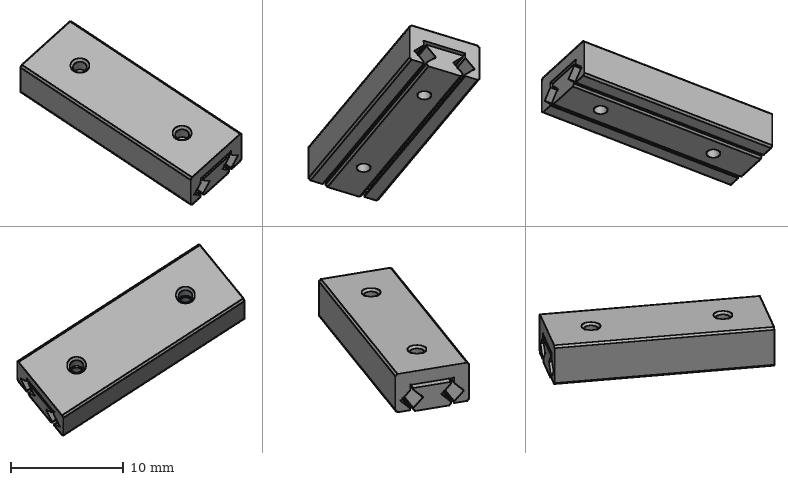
import cadquery as cq

length = 20.0
block_width = 7.0
total_height = 4.0
edge_chamfer = 0.2

block_bottom = 0.15
slot_top = 2.7
rail_top = 2.35
race_center_y = 1.95
race_center_z = 1.25
race_reach = 1.05
side_gap = 0.28

slot_half_width = race_center_y + side_gap / 2
rail_half_width = race_center_y - side_gap / 2

hole_diameter = 1.25
countersink_diameter = 1.7
countersink_angle = 90.0
hole_spacing = 12.0
hole_points = [(-hole_spacing / 2, 0), (hole_spacing / 2, 0)]


def bar(half_width, bottom, top):
    """Rectangular bar of full length, centred in X and Y."""
    return (
        cq.Workplane("XY")
        .box(length, 2 * half_width, top - bottom, centered=(True, True, False))
        .translate((0, 0, bottom))
    )


def race_cutter():
    """Square bars standing on edge, one per side, that cut the 90 degree V-grooves."""
    return (
        cq.Workplane("YZ")
        .pushPoints([(-race_center_y, race_center_z), (race_center_y, race_center_z)])
        .polygon(4, 2 * race_reach)
        .extrude(length / 2, both=True)
    )


def make_block():
    """Channel-shaped block with V-grooves on its inner walls and countersunk holes."""
    body = bar(block_width / 2, block_bottom, total_height).edges("|X").chamfer(edge_chamfer)
    body = body.cut(bar(slot_half_width, block_bottom, slot_top)).cut(race_cutter())
    return (
        body.faces(">Z")
        .workplane(origin=(0, 0, total_height))
        .pushPoints(hole_points)
        .cskHole(hole_diameter, countersink_diameter, countersink_angle)
    )


def make_rail():
    """Rail with V-grooves on its outer walls, lower edges chamfered, and plain holes."""
    body = bar(rail_half_width, 0, rail_top).edges("|X and <Z").chamfer(edge_chamfer)
    return (
        body.cut(race_cutter())
        .faces(">Z")
        .workplane(origin=(0, 0, rail_top))
        .pushPoints(hole_points)
        .hole(hole_diameter)
    )


block = make_block()
rail = make_rail()

result = cq.Compound.makeCompound([block.val(), rail.val()])